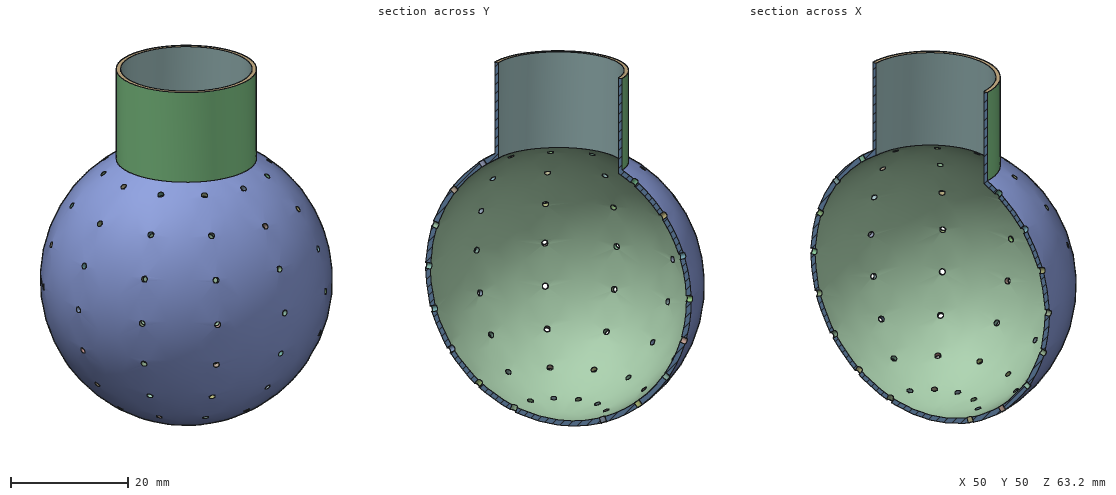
import cadquery as cq
import math

total_height = 63.2
ball_diameter = 50.0
ball_wall = 1.0
neck_outer_diameter = 24.0
neck_inner_diameter = 22.5

hole_diameter = 1.0
holes_per_ring = 12
ring_count = 8
top_ring_latitude = 54.5
bottom_ring_latitude = -70.0

ball_radius = ball_diameter / 2
cavity_radius = ball_radius - ball_wall
neck_length = total_height - ball_radius
ring_pitch = (top_ring_latitude - bottom_ring_latitude) / (ring_count - 1)
drill_start_radius = cavity_radius - ball_wall
drill_length = 3 * ball_wall


def make_shell():
    """Hollow ball, centred on the origin, opening into a tubular neck."""
    neck = cq.Workplane("XY").circle(neck_outer_diameter / 2).extrude(neck_length)
    bore = cq.Workplane("XY").circle(neck_inner_diameter / 2).extrude(neck_length)
    ball = cq.Workplane("XY").sphere(ball_radius)
    cavity = cq.Workplane("XY").sphere(cavity_radius)
    return ball.union(neck).cut(cavity).cut(bore)


def make_drill(latitude, longitude):
    """Radial cylinder that crosses the ball wall at the given angles in degrees."""
    lat = math.radians(latitude)
    lon = math.radians(longitude)
    outward = cq.Vector(
        math.cos(lat) * math.cos(lon),
        math.cos(lat) * math.sin(lon),
        math.sin(lat),
    )
    start = outward * drill_start_radius
    return cq.Solid.makeCylinder(hole_diameter / 2, drill_length, start, outward)


drills = []
for ring in range(ring_count):
    ring_latitude = top_ring_latitude - ring * ring_pitch
    for index in range(holes_per_ring):
        drills.append(make_drill(ring_latitude, index * 360 / holes_per_ring))

drilled_shell = make_shell().cut(cq.Workplane(cq.Compound.makeCompound(drills)))

result = drilled_shell.translate((0, 0, ball_radius))